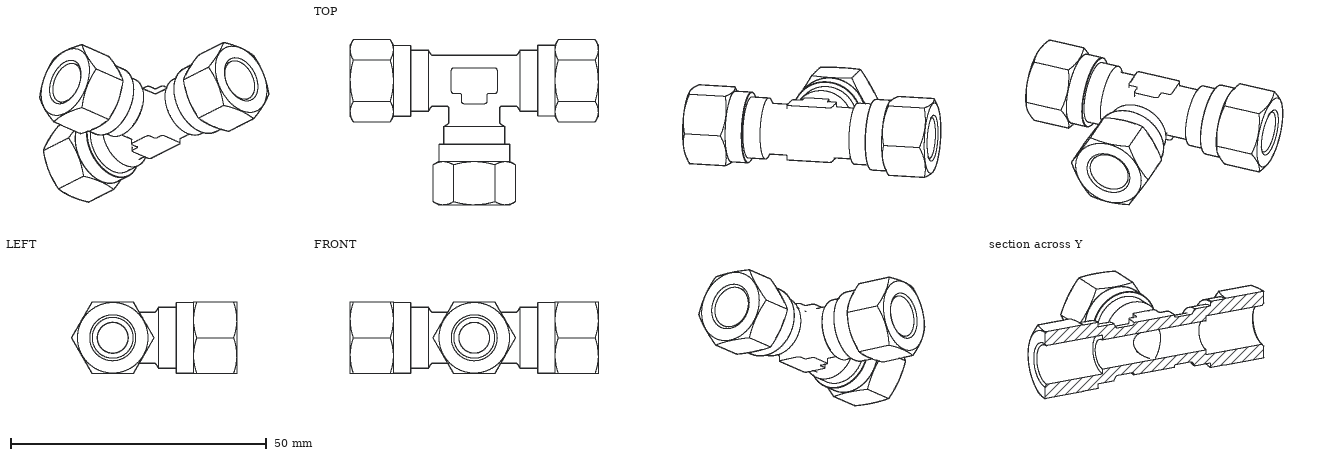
import math

import cadquery as cq

arm_end = 24.325
arm_directions = (0, 180, -90)

tube_radius = 5.0
shoulder_radius = 6.0
shoulder_start = 8.95
shoulder_cone_angle = math.radians(60)
neck_fillet = 0.4

pad_height = 5.5
pad_length = 9.0
pad_width = 5.0
pad_stem_width = 5.0
pad_stem_end = 4.5
pad_corner_radius = 0.5
centre_fillet = 0.3

across_flats = 14.0
across_corners = across_flats / math.cos(math.radians(30))
collar_start = 12.4
collar_radius = 6.95
collar_chamfer = 0.1
hex_start = 15.75
bevel_radius = 6.9
bevel_angle = math.radians(30)

bore_radius = 3.0
socket_radius = 4.0
socket_bottom = 11.5
mouth_radius = 4.5
mouth_depth = 0.4

selection_margin = 0.05
envelope_clearance = 1.0


def revolve_about_x(profile):
    """Close a profile of (distance along X, radius) and turn it about the X axis."""
    return profile.close().revolve(360, (0, 0, 0), (1, 0, 0))


def on_each_arm(shape):
    """Copy a shape built along +X onto all three arms and merge the copies."""
    merged = cq.Workplane("XY")
    for angle in arm_directions:
        merged.add(shape.rotate((0, 0, 0), (0, 0, 1), angle).val())
    return merged.combine()


def make_tube():
    return cq.Workplane("YZ").circle(tube_radius).extrude(hex_start)


def make_pads():
    """One T-shaped block running through the tee, showing as a pad above and below."""
    plane = cq.Workplane("XY").workplane(offset=-pad_height)
    bar = plane.rect(pad_length, pad_width).extrude(2 * pad_height)
    stem = plane.center(0, -pad_stem_end / 2).rect(pad_stem_width, pad_stem_end).extrude(2 * pad_height)
    bar = bar.edges("|Z").fillet(pad_corner_radius)
    stem = stem.edges("|Z and <Y").fillet(pad_corner_radius)
    return bar.union(stem)


def notch_selector(side):
    """Vertical inner corners of the pads on one side (+1 or -1) of the branch."""
    x = side * pad_stem_width / 2
    y = -pad_width / 2
    m = selection_margin
    reach = pad_height + m
    return cq.selectors.BoxSelector((x - m, y - m, -reach), (x + m, y + m, reach), boundingbox=True)


def make_centre():
    """Crossing tubes with pads, blended along every inside edge."""
    centre = on_each_arm(make_tube()).union(make_pads())
    reach = tube_radius + selection_margin
    inside_edges = cq.selectors.BoxSelector(
        (-reach, -reach, -reach), (reach, reach, reach), boundingbox=True
    )
    for side in (1, -1):
        inside_edges = inside_edges + notch_selector(side)
    return centre.edges(inside_edges).fillet(centre_fillet)


def make_shoulder():
    """Stepped shoulder and nut collar, joined to the tube by a cone and a concave fillet."""
    cone_foot = shoulder_start - (shoulder_radius - tube_radius) / math.tan(shoulder_cone_angle)
    tangent_length = neck_fillet * math.tan(shoulder_cone_angle / 2)
    fillet_start = cone_foot - tangent_length
    half_angle = shoulder_cone_angle / 2
    fillet_middle = (
        fillet_start + neck_fillet * math.sin(half_angle),
        tube_radius + neck_fillet * (1 - math.cos(half_angle)),
    )
    fillet_finish = (
        cone_foot + tangent_length * math.cos(shoulder_cone_angle),
        tube_radius + tangent_length * math.sin(shoulder_cone_angle),
    )
    profile = (
        cq.Workplane("XY")
        .moveTo(fillet_start, 0)
        .lineTo(fillet_start, tube_radius)
        .threePointArc(fillet_middle, fillet_finish)
        .lineTo(shoulder_start, shoulder_radius)
        .lineTo(collar_start, shoulder_radius)
        .lineTo(collar_start, collar_radius - collar_chamfer)
        .lineTo(collar_start + collar_chamfer, collar_radius)
        .lineTo(hex_start, collar_radius)
        .lineTo(hex_start, 0)
    )
    return revolve_about_x(profile)


def make_hex():
    """Hexagon with flats facing +Z and -Z and its corners bevelled at both ends."""
    hexagon = (
        cq.Workplane("YZ")
        .workplane(offset=hex_start)
        .polygon(6, across_corners)
        .extrude(arm_end - hex_start)
    )
    outer_radius = across_corners / 2 + envelope_clearance
    bevel_length = (outer_radius - bevel_radius) * math.tan(bevel_angle)
    envelope = (
        cq.Workplane("XY")
        .moveTo(hex_start, 0)
        .lineTo(hex_start, bevel_radius)
        .lineTo(hex_start + bevel_length, outer_radius)
        .lineTo(arm_end - bevel_length, outer_radius)
        .lineTo(arm_end, bevel_radius)
        .lineTo(arm_end, 0)
    )
    return hexagon.intersect(revolve_about_x(envelope))


def make_bore():
    """Through bore from the tee centre, widening to the tube socket and its flared mouth."""
    profile = (
        cq.Workplane("XY")
        .lineTo(0, bore_radius)
        .lineTo(socket_bottom, bore_radius)
        .lineTo(socket_bottom, socket_radius)
        .lineTo(arm_end - mouth_depth, socket_radius)
        .lineTo(arm_end, mouth_radius)
        .lineTo(arm_end, 0)
    )
    return revolve_about_x(profile)


arm = make_shoulder().union(make_hex())
result = make_centre().union(on_each_arm(arm)).cut(on_each_arm(make_bore()))